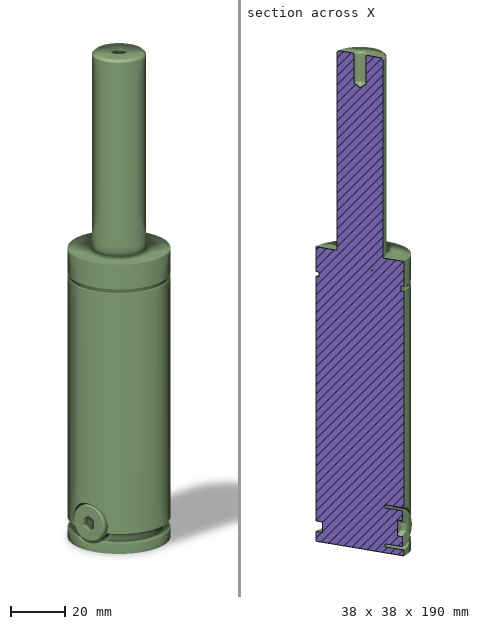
import cadquery as cq
import math

total_height = 190.0
body_diameter = 38.0
body_height = 113.2
rod_diameter = 20.0
rod_chamfer = 1.0

base_flange_height = 4.0
base_groove_width = 3.8
base_groove_diameter = 32.5

head_height = 9.7
head_groove_width = 1.7
head_groove_diameter = 35.7

rod_hole_diameter = 5.0
rod_hole_mouth_diameter = 6.0
rod_hole_mouth_angle = 90
rod_hole_depth = 11.4
drill_point_angle = 118

plug_height = 10.5
plug_bore_diameter = 16.0
plug_diameter = 14.0
plug_chamfer = 0.4
plug_recess = 0.5
plug_length = 7.6
socket_width = 5.1
socket_depth = 2.3


def cylinder(diameter, bottom, height):
    """Cylinder on the Z axis."""
    return cq.Workplane("XY").workplane(offset=bottom).circle(diameter / 2).extrude(height)


def groove(diameter, bottom, width):
    """Ring that cuts the body down to the groove diameter."""
    return cylinder(body_diameter, bottom, width).cut(cylinder(diameter, bottom, width))


def radial_cylinder(diameter, outer_distance, length):
    """Cylinder at plug height, running from outer_distance on -Y towards the axis."""
    plane = cq.Workplane("XZ", origin=(0, -outer_distance, plug_height))
    return plane.circle(diameter / 2).extrude(-length)


def make_rod():
    rod = cylinder(rod_diameter, body_height, total_height - body_height)
    rod = rod.faces(">Z").chamfer(rod_chamfer)
    rod = rod.faces(">Z").workplane().cskHole(
        rod_hole_diameter, rod_hole_mouth_diameter, rod_hole_mouth_angle, depth=rod_hole_depth
    )
    half_angle = math.radians(drill_point_angle / 2)
    hole_radius = rod_hole_diameter / 2
    hole_bottom = total_height - rod_hole_depth
    drill_point = cq.Solid.makeCone(
        hole_radius, 0, hole_radius / math.tan(half_angle),
        pnt=cq.Vector(0, 0, hole_bottom), dir=cq.Vector(0, 0, -1),
    )
    return rod.cut(cq.Workplane(drill_point))


def make_body():
    body = cylinder(body_diameter, 0, body_height)
    body = body.cut(groove(base_groove_diameter, base_flange_height, base_groove_width))
    head_groove_bottom = body_height - head_height - head_groove_width
    return body.cut(groove(head_groove_diameter, head_groove_bottom, head_groove_width))


def make_plug():
    face_distance = body_diameter / 2 - plug_recess
    plug = radial_cylinder(plug_diameter, face_distance, plug_length)
    plug = plug.faces("<Y").chamfer(plug_chamfer)
    across_corners = socket_width / math.cos(math.radians(30))
    socket_plane = cq.Workplane("XZ", origin=(0, -face_distance, plug_height))
    socket = socket_plane.transformed(rotate=(0, 0, 90)).polygon(6, across_corners).extrude(-socket_depth)
    return plug.cut(socket)


plug_bore = radial_cylinder(plug_bore_diameter, body_diameter / 2, plug_recess + plug_length)
result = make_body().cut(plug_bore).union(make_plug()).union(make_rod())